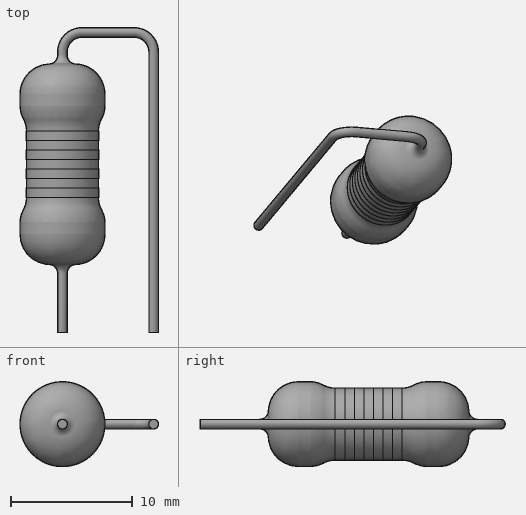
import cadquery as cq
import math

body_length = 16.52
body_radius = 7.0 / 2
cap_round = 2.48
cap_band_length = 1.0

waist_radius = 5.95 / 2
waist_length = 5.5
band_radius = 5.97 / 2
band_count = 4

wire_radius = 0.8 / 2
foot_round = 0.7
lead_spacing = 7.5
bend_radius = 1.6
lead_end_y = -13.85
overall_length = 25.1
bridge_y = lead_end_y + overall_length - wire_radius

half_body = body_length / 2
half_waist = waist_length / 2


def mirrored(point):
    """Reflect a (radius, y) point to the other end of the body."""
    return (point[0], -point[1])


def make_body():
    """Revolve the rounded caps, S-shaped shoulders, waist and flared wire feet."""
    foot_radius = wire_radius + foot_round
    cap_centre_radius = body_radius - cap_round
    cap_centre_y = half_body - cap_round
    foot_offset = foot_radius - cap_centre_radius
    foot_y = cap_centre_y + math.sqrt(cap_round**2 - foot_offset**2)

    foot_tip = (wire_radius, half_body + foot_round)
    foot_base = (foot_radius, foot_y)
    cap_side = (body_radius, cap_centre_y)
    shoulder_start = (body_radius, cap_centre_y - cap_band_length)
    waist_end = (waist_radius, half_waist)
    shoulder_middle = (
        (shoulder_start[0] + waist_end[0]) / 2,
        (shoulder_start[1] + waist_end[1]) / 2,
    )
    half_drop = (body_radius - waist_radius) / 2
    half_run = (shoulder_start[1] - half_waist) / 2
    shoulder_round = (half_drop**2 + half_run**2) / (2 * half_drop)

    profile = (
        cq.Workplane("XY")
        .moveTo(0, foot_tip[1])
        .lineTo(*foot_tip)
        .radiusArc(foot_base, -foot_round)
        .radiusArc(cap_side, cap_round)
        .lineTo(*shoulder_start)
        .radiusArc(shoulder_middle, shoulder_round)
        .radiusArc(waist_end, -shoulder_round)
        .lineTo(*mirrored(waist_end))
        .radiusArc(mirrored(shoulder_middle), -shoulder_round)
        .radiusArc(mirrored(shoulder_start), shoulder_round)
        .lineTo(*mirrored(cap_side))
        .radiusArc(mirrored(foot_base), cap_round)
        .radiusArc(mirrored(foot_tip), -foot_round)
        .lineTo(0, -foot_tip[1])
        .close()
    )
    return profile.revolve(360, (0, 0, 0), (0, 1, 0))


def rod_along_y(radius, start_y, end_y):
    """Make a cylinder on the body axis."""
    return cq.Workplane("XZ", origin=(0, start_y, 0)).circle(radius).extrude(start_y - end_y)


def add_colour_bands(body):
    """Add raised bands separated by gaps of the same width."""
    band_width = waist_length / (2 * band_count - 1)
    for index in range(band_count):
        start_y = -half_waist + 2 * index * band_width
        body = body.union(rod_along_y(band_radius, start_y, start_y + band_width))
    return body


def make_bent_lead():
    """Sweep the wire from the upper foot across to the long parallel leg."""
    start_y = half_body + foot_round
    bend_y = bridge_y - bend_radius
    bend_sagitta = bend_radius * (1 - math.sqrt(0.5))
    bend_middle_y = bridge_y - bend_sagitta
    path = (
        cq.Workplane("XY")
        .moveTo(0, start_y)
        .lineTo(0, bend_y)
        .threePointArc((bend_sagitta, bend_middle_y), (bend_radius, bridge_y))
        .lineTo(lead_spacing - bend_radius, bridge_y)
        .threePointArc((lead_spacing - bend_sagitta, bend_middle_y), (lead_spacing, bend_y))
        .lineTo(lead_spacing, lead_end_y)
    )
    return cq.Workplane("XZ", origin=(0, start_y, 0)).circle(wire_radius).sweep(path)


straight_lead = rod_along_y(wire_radius, lead_end_y, -half_body - foot_round)
body = add_colour_bands(make_body())
result = body.union(straight_lead).union(make_bent_lead())